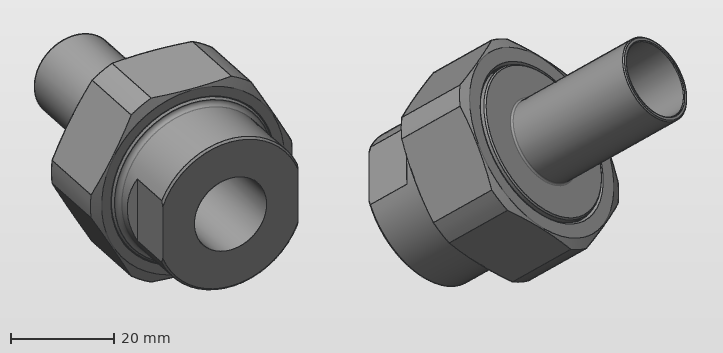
import cadquery as cq
import math

total_length = 62.5
bore_radius = 16.0 / 2

tube_radius = 18.0 / 2
tube_end_chamfer = 0.25
tube_mouth_chamfer = 0.2
flange_face_x = 29.95
flange_radius = 33.0 / 2
flange_edge_chamfer = 0.3
tube_root_fillet = 0.4

nut_start_x = 30.5
nut_end_x = 47.5
nut_across_flats = 41.0
nut_corner_radius = 44.7 / 2
nut_face_radius = 20.25
nut_chamfer_length = 0.7
lip_length = 3.1
lip_bore_radius = 33.5 / 2
lip_mouth_chamfer = 0.5
nut_bore_radius = 36.4 / 2

collar_radius = 36.0 / 2
seat_x = 38.75
shoulder_x = 47.4
shoulder_chamfer = 0.45
socket_radius = 33.0 / 2
shoulder_fillet = 1.0
socket_end_chamfer = 0.45
wrench_flat_distance = 15.0
wrench_flat_start_x = 52.3
wrench_ramp_length = 1.3

lip_end_x = nut_start_x + lip_length
shoulder_chamfer_end_x = shoulder_x + shoulder_chamfer


def make_tailpiece():
    """Tube, flange filling the nut lip, and the collar that the lip pulls on."""
    profile = (
        cq.Workplane("XY")
        .moveTo(tube_mouth_chamfer, bore_radius)
        .lineTo(0, bore_radius + tube_mouth_chamfer)
        .lineTo(0, tube_radius - tube_end_chamfer)
        .lineTo(tube_end_chamfer, tube_radius)
        .lineTo(flange_face_x - tube_root_fillet, tube_radius)
        .radiusArc((flange_face_x, tube_radius + tube_root_fillet), -tube_root_fillet)
        .lineTo(flange_face_x, flange_radius - flange_edge_chamfer)
        .lineTo(flange_face_x + flange_edge_chamfer, flange_radius)
        .lineTo(lip_end_x, flange_radius)
        .lineTo(lip_end_x, collar_radius)
        .lineTo(seat_x, collar_radius)
        .lineTo(seat_x, bore_radius)
        .close()
    )
    return profile.revolve(360, (0, 0, 0), (1, 0, 0))


def make_nut():
    """Hexagon with flats facing up and down, trimmed by a turned envelope."""
    nut_length = nut_end_x - nut_start_x
    across_corners = nut_across_flats / math.cos(math.radians(30))
    hexagon = (
        cq.Workplane("YZ", origin=(nut_start_x, 0, 0))
        .polygon(6, across_corners)
        .extrude(nut_length)
    )
    envelope = (
        cq.Workplane("XY")
        .moveTo(nut_start_x, lip_bore_radius + lip_mouth_chamfer)
        .lineTo(nut_start_x, nut_face_radius)
        .lineTo(nut_start_x + nut_chamfer_length, nut_corner_radius)
        .lineTo(nut_end_x - nut_chamfer_length, nut_corner_radius)
        .lineTo(nut_end_x, nut_face_radius)
        .lineTo(nut_end_x, nut_bore_radius)
        .lineTo(lip_end_x, nut_bore_radius)
        .lineTo(lip_end_x, lip_bore_radius)
        .lineTo(nut_start_x + lip_mouth_chamfer, lip_bore_radius)
        .close()
        .revolve(360, (0, 0, 0), (1, 0, 0))
    )
    return hexagon.intersect(envelope)


def make_wrench_flat_cutter():
    """Cutter for the +Y flat, with a ramp where the flat starts."""
    ramp_height = socket_radius - wrench_flat_distance
    overshoot = 2
    return (
        cq.Workplane("XY")
        .moveTo(wrench_flat_start_x, wrench_flat_distance)
        .lineTo(total_length, wrench_flat_distance)
        .lineTo(total_length, wrench_flat_distance + overshoot * ramp_height)
        .lineTo(
            wrench_flat_start_x - overshoot * wrench_ramp_length,
            wrench_flat_distance + overshoot * ramp_height,
        )
        .close()
        .extrude(socket_radius, both=True)
    )


def make_socket():
    """Socket end with a filleted shoulder and two opposite wrench flats."""
    shoulder_edge_radius = collar_radius - shoulder_chamfer
    fillet_start_radius = socket_radius + shoulder_fillet
    fillet_end_x = shoulder_chamfer_end_x + shoulder_fillet
    socket = (
        cq.Workplane("XY")
        .moveTo(seat_x, bore_radius)
        .lineTo(seat_x, collar_radius)
        .lineTo(shoulder_x, collar_radius)
        .lineTo(shoulder_chamfer_end_x, shoulder_edge_radius)
        .lineTo(shoulder_chamfer_end_x, fillet_start_radius)
        .radiusArc((fillet_end_x, socket_radius), -shoulder_fillet)
        .lineTo(total_length - socket_end_chamfer, socket_radius)
        .lineTo(total_length, socket_radius - socket_end_chamfer)
        .lineTo(total_length, bore_radius)
        .close()
        .revolve(360, (0, 0, 0), (1, 0, 0))
    )
    flat_cutter = make_wrench_flat_cutter()
    return socket.cut(flat_cutter).cut(flat_cutter.mirror("XZ"))


tailpiece = make_tailpiece()
nut = make_nut()
socket_end = make_socket()

result = cq.Compound.makeCompound([tailpiece.val(), nut.val(), socket_end.val()])